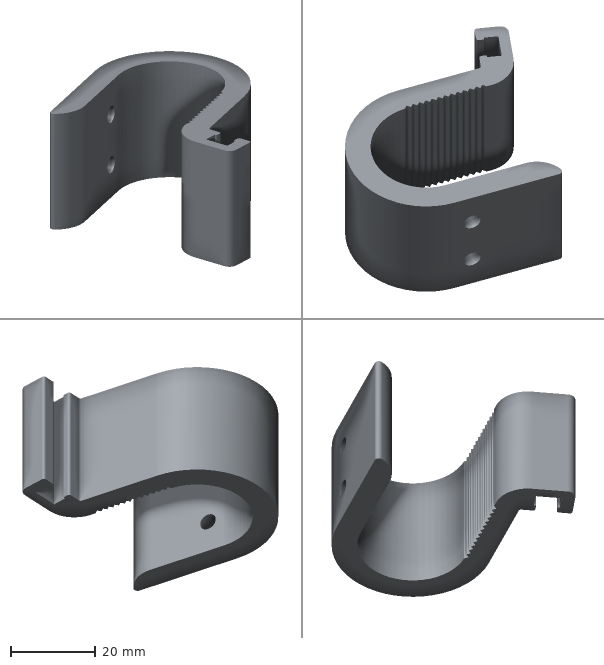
import cadquery as cq
import math

width = 30.0
outer_radius = 19.3
inner_radius = 13.2

tip_curve_radius = 8.0
tip_curve_y = -20.25
tip_round = 1.0

hole_diameter = 4.2
hole_y = -4.5
hole_spacing = 13.05

groove_count = 13
groove_pitch = 1.6
groove_depth = groove_pitch / 2
first_groove_y = -0.25

foot_radius = 8.0
foot_y = -21.6

channel_tilt = math.radians(13.0)
channel_end = 10.7
channel_height = 8.05
floor_height = 2.65
lip_underside = 6.15
cavity_start = 1.25
cavity_end = 7.55
mouth_start = 1.85
mouth_end = 6.95
channel_corner_round = 2.05
lip_round = 0.6
inside_corner_round = 0.6

foot_x = inner_radius + foot_radius


def channel_point(along, height):
    """Convert channel length and height to X, Y."""
    outward = height - foot_radius
    x = foot_x + along * math.cos(channel_tilt) + outward * math.sin(channel_tilt)
    y = foot_y - along * math.sin(channel_tilt) + outward * math.cos(channel_tilt)
    return (x, y)


def round_corner(body, point, radius):
    """Fillet the upright edge that passes through a profile point."""
    edge = body.edges("|Z").edges(cq.selectors.NearestToPointSelector((*point, 0)))
    return edge.fillet(radius)


tip_curve_x = -inner_radius - tip_curve_radius
tip_reach = -outer_radius - tip_curve_x
tip_corner = (-outer_radius, tip_curve_y - math.sqrt(tip_curve_radius**2 - tip_reach**2))
tip_mid_angle = math.atan2(tip_corner[1] - tip_curve_y, tip_reach) / 2
tip_curve_mid = (
    tip_curve_x + tip_curve_radius * math.cos(tip_mid_angle),
    tip_curve_y + tip_curve_radius * math.sin(tip_mid_angle),
)

foot_mid_angle = (math.pi + 3 * math.pi / 2 - channel_tilt) / 2
foot_mid = (
    foot_x + foot_radius * math.cos(foot_mid_angle),
    foot_y + foot_radius * math.sin(foot_mid_angle),
)

channel_corner = channel_point(channel_end, 0)
far_lip_outer = channel_point(channel_end, channel_height)
far_lip_inner = channel_point(mouth_end, channel_height)
near_lip_inner = channel_point(mouth_start, channel_height)
inside_corner = (
    outer_radius,
    near_lip_inner[1] + (near_lip_inner[0] - outer_radius) * math.tan(channel_tilt),
)

body = (
    cq.Workplane("XY")
    .workplane(offset=-width / 2)
    .moveTo(*tip_corner)
    .lineTo(-outer_radius, 0)
    .threePointArc((0, outer_radius), (outer_radius, 0))
    .lineTo(*inside_corner)
    .lineTo(*near_lip_inner)
    .lineTo(*channel_point(mouth_start, lip_underside))
    .lineTo(*channel_point(cavity_start, lip_underside))
    .lineTo(*channel_point(cavity_start, floor_height))
    .lineTo(*channel_point(cavity_end, floor_height))
    .lineTo(*channel_point(cavity_end, lip_underside))
    .lineTo(*channel_point(mouth_end, lip_underside))
    .lineTo(*far_lip_inner)
    .lineTo(*far_lip_outer)
    .lineTo(*channel_corner)
    .lineTo(*channel_point(0, 0))
    .threePointArc(foot_mid, (inner_radius, foot_y))
    .lineTo(inner_radius, 0)
    .threePointArc((0, inner_radius), (-inner_radius, 0))
    .lineTo(-inner_radius, tip_curve_y)
    .threePointArc(tip_curve_mid, tip_corner)
    .close()
    .extrude(width)
)

body = round_corner(body, tip_corner, tip_round)
body = round_corner(body, channel_corner, channel_corner_round)
body = round_corner(body, inside_corner, inside_corner_round)
for lip_corner in (near_lip_inner, far_lip_inner, far_lip_outer):
    body = round_corner(body, lip_corner, lip_round)

groove_side = groove_depth * math.sqrt(2)
groove_centres = [
    (inner_radius, first_groove_y - index * groove_pitch) for index in range(groove_count)
]
for x, y in groove_centres:
    groove = cq.Workplane("XY").box(groove_side, groove_side, width)
    groove = groove.rotate((0, 0, 0), (0, 0, 1), 45).translate((x, y, 0))
    body = body.cut(groove)

holes = (
    cq.Workplane("YZ")
    .workplane(offset=-outer_radius)
    .pushPoints([(hole_y, -hole_spacing / 2), (hole_y, hole_spacing / 2)])
    .circle(hole_diameter / 2)
    .extrude(outer_radius)
)
result = body.cut(holes)